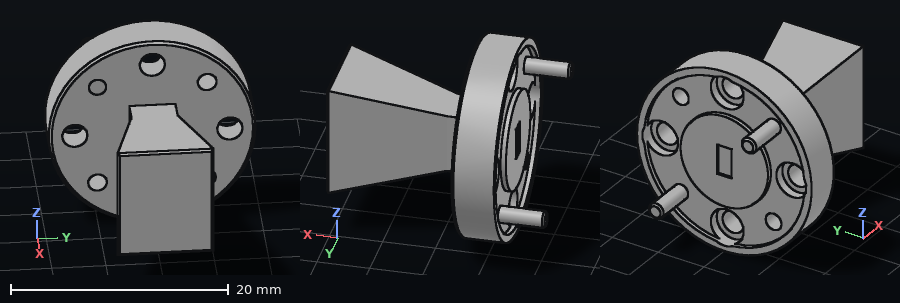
import cadquery as cq
import math

total_length = 20.9
pin_projection = 3.86
flange_thickness = 4.05
neck_length = 2.1
front_face_x = -total_length / 2 + pin_projection
back_face_x = front_face_x + flange_thickness
horn_start_x = back_face_x + neck_length
horn_end_x = total_length / 2

flange_diameter = 19.05
flange_chamfer = 0.25
groove_outer_diameter = 17.5
boss_diameter = 9.53
groove_depth = 0.5

pattern_radius = 7.15
screw_hole_diameter = 2.3
counterbore_diameter = 3.57
counterbore_depth = 1.5
dowel_hole_diameter = 1.71

pin_diameter = 1.59
pin_chamfer = 0.2

waveguide_width = 1.55
waveguide_height = 3.1
waveguide_depth = 0.2
neck_width = 4.26
neck_height = 5.8
mouth_width = 8.82
mouth_height = 10.82
mouth_chamfer = 0.2
mouth_edge_x = horn_end_x - mouth_chamfer


def plane_at(x):
    """Workplane normal to X, with its local axes along Y and Z."""
    return cq.Workplane("YZ", origin=(x, 0, 0))


def pattern_points(angles):
    """Y and Z positions on the pattern circle, at angles measured from Y."""
    return [
        (pattern_radius * math.cos(math.radians(a)), pattern_radius * math.sin(math.radians(a)))
        for a in angles
    ]


screw_points = pattern_points([0, 90, 180, 270])
open_dowel_points = pattern_points([45, 225])
pin_points = pattern_points([135, 315])


def make_flange():
    """Round flange with a face groove, counterbored screw holes and dowel holes."""
    flange = plane_at(front_face_x).circle(flange_diameter / 2).extrude(flange_thickness)
    flange = flange.faces(">X").edges().chamfer(flange_chamfer)
    groove = (
        plane_at(front_face_x)
        .circle(groove_outer_diameter / 2)
        .circle(boss_diameter / 2)
        .extrude(groove_depth)
    )
    counterbores = (
        plane_at(front_face_x)
        .pushPoints(screw_points)
        .circle(counterbore_diameter / 2)
        .extrude(counterbore_depth)
    )
    flange = flange.cut(groove).cut(counterbores)
    for points, diameter in (
        (screw_points, screw_hole_diameter),
        (open_dowel_points, dowel_hole_diameter),
        (pin_points, pin_diameter),
    ):
        holes = plane_at(front_face_x).pushPoints(points).circle(diameter / 2).extrude(flange_thickness)
        flange = flange.cut(holes)
    return flange


def make_flared_section(start_x, end_x, start_size, end_size):
    """Straight-sided rectangular section that changes size along X."""
    return (
        plane_at(start_x)
        .rect(*start_size)
        .workplane(offset=end_x - start_x)
        .rect(*end_size)
        .loft(ruled=True)
    )


def make_horn():
    """Rectangular neck and pyramidal horn with a bevelled mouth rim."""
    neck_size = (neck_width, neck_height)
    mouth_size = (mouth_width, mouth_height)
    rim_size = (mouth_width - 2 * mouth_chamfer, mouth_height - 2 * mouth_chamfer)
    neck = plane_at(back_face_x).rect(*neck_size).extrude(neck_length)
    flare = make_flared_section(horn_start_x, mouth_edge_x, neck_size, mouth_size)
    rim = make_flared_section(mouth_edge_x, horn_end_x, mouth_size, rim_size)
    return neck.union(flare).union(rim)


def make_antenna():
    """Flange and horn in one piece, with the waveguide recess in the boss."""
    recess = plane_at(front_face_x).rect(waveguide_width, waveguide_height).extrude(waveguide_depth)
    return make_flange().union(make_horn()).cut(recess)


def make_dowel_pin(y, z):
    """Dowel pin through the flange, flush at the back and chamfered at its free end."""
    pin = (
        plane_at(-total_length / 2)
        .center(y, z)
        .circle(pin_diameter / 2)
        .extrude(pin_projection + flange_thickness)
    )
    return pin.faces("<X").edges().chamfer(pin_chamfer)


antenna = make_antenna()
dowel_pins = [make_dowel_pin(y, z) for y, z in pin_points]

result = cq.Compound.makeCompound([antenna.val(), *[pin.val() for pin in dowel_pins]])